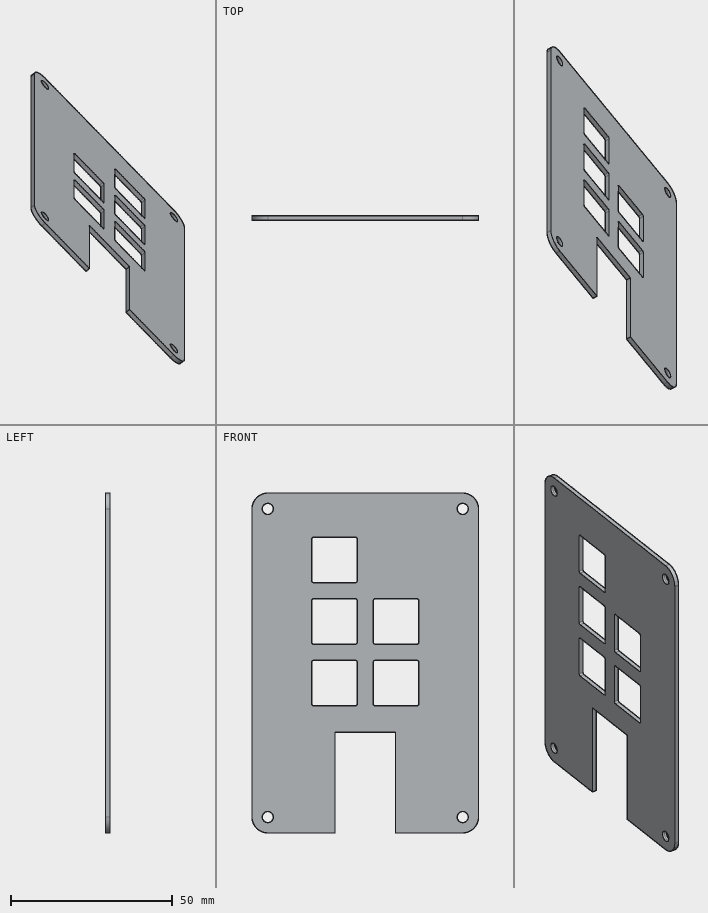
import cadquery as cq

plate_width = 70.0
plate_height = 105.0
plate_thickness = 1.5
corner_radius = 5.0

hole_diameter = 3.4
hole_inset = 4.9

window_size = 14.0
window_corner_radius = 0.5
window_pitch = 19.0
window_middle_row_z = 12.8

slot_width = 18.6
slot_height = 31.1


def make_plate():
    plate = cq.Workplane("XY").box(plate_width, plate_thickness, plate_height)
    return plate.edges("|Y").fillet(corner_radius)


def make_mounting_holes():
    return (
        cq.Workplane("XZ")
        .rect(plate_width - 2 * hole_inset, plate_height - 2 * hole_inset, forConstruction=True)
        .vertices()
        .circle(hole_diameter / 2)
        .extrude(plate_thickness, both=True)
    )


def make_key_windows():
    left_x = -window_pitch / 2
    right_x = window_pitch / 2
    top_z = window_middle_row_z + window_pitch
    bottom_z = window_middle_row_z - window_pitch
    centers = [(left_x, top_z)]
    for row_z in (window_middle_row_z, bottom_z):
        centers += [(left_x, row_z), (right_x, row_z)]
    return (
        cq.Workplane("XZ")
        .pushPoints(centers)
        .rect(window_size, window_size)
        .extrude(plate_thickness, both=True)
        .edges("|Y")
        .fillet(window_corner_radius)
    )


def make_bottom_slot():
    slot_center_z = (slot_height - plate_height) / 2
    return (
        cq.Workplane("XY")
        .box(slot_width, 2 * plate_thickness, slot_height)
        .translate((0, 0, slot_center_z))
    )


result = (
    make_plate()
    .cut(make_mounting_holes())
    .cut(make_key_windows())
    .cut(make_bottom_slot())
)